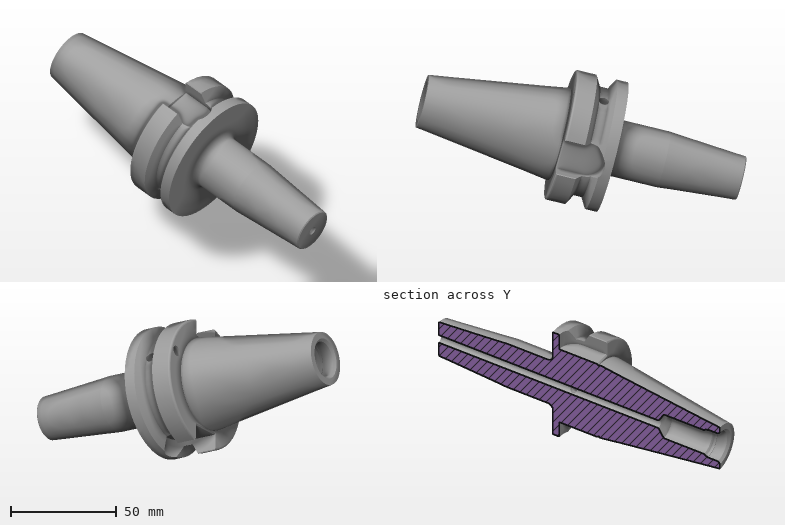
import cadquery as cq
import math

total_length = 155.4
gauge_x = 65.7
flange_x = 67.3
flange_end_x = 92.5
nose_taper_x = 117.5

gauge_radius = 22.4
taper_ratio = 7 / 24
small_end_radius = gauge_radius - gauge_x * taper_ratio / 2
relief_x = 66.7
relief_floor_radius = 21.5

flange_diameter = 63.0
flange_radius = flange_diameter / 2
flange_edge_fillet = 1.01
groove_x = 82.0
groove_floor_radius = 26.4
groove_floor_width = 4.2
groove_flank_angle = 30
groove_depth = flange_radius - groove_floor_radius
groove_half_floor = groove_floor_width / 2
groove_half_mouth = groove_half_floor + groove_depth * math.tan(math.radians(groove_flank_angle))

neck_radius = 13.5
neck_fillet = 3.0
nose_end_radius = 10.5
nose_end_chamfer = 0.5

upper_slot_width = 16.2
lower_slot_width = 17.1
slot_floor_z = 22.5
slot_end_x = 88.7
slot_floor_chamfer = 0.6
slot_side_chamfer = 0.5

mouth_radius = 9.6
counterbore_radius = 8.4
counterbore_depth = 6.7
shoulder_radius = 8.1
shoulder_length = 1.2
thread_radius = 7.1
thread_end_x = 31.1
coolant_radius = 2.2
drill_point_angle = 118

channel_angles = (20, 200)
side_hole_diameter = 4.8
side_hole_radius = side_hole_diameter / 2
inlet_radius = 26.9
inlet_tilt = 30
radial_step_radius = 21.1
radial_drill_radius = 1.7


def revolve_about_x(profile):
    return profile.close().revolve(360, (0, 0, 0), (1, 0, 0))


def make_body():
    profile = (
        cq.Workplane("XY")
        .lineTo(0, small_end_radius)
        .lineTo(gauge_x, gauge_radius)
        .lineTo(relief_x, gauge_radius)
        .lineTo(flange_x, relief_floor_radius)
        .lineTo(flange_x, flange_radius - flange_edge_fillet)
        .radiusArc((flange_x + flange_edge_fillet, flange_radius), flange_edge_fillet)
        .lineTo(groove_x - groove_half_mouth, flange_radius)
        .lineTo(groove_x - groove_half_floor, groove_floor_radius)
        .lineTo(groove_x + groove_half_floor, groove_floor_radius)
        .lineTo(groove_x + groove_half_mouth, flange_radius)
        .lineTo(flange_end_x, flange_radius)
        .lineTo(flange_end_x, neck_radius + neck_fillet)
        .radiusArc((flange_end_x + neck_fillet, neck_radius), -neck_fillet)
        .lineTo(nose_taper_x, neck_radius)
        .lineTo(total_length - nose_end_chamfer, nose_end_radius)
        .lineTo(total_length, nose_end_radius - nose_end_chamfer)
        .lineTo(total_length, 0)
    )
    return revolve_about_x(profile)


def make_bore():
    mouth_chamfer = mouth_radius - counterbore_radius
    shoulder_end_x = counterbore_depth + shoulder_length
    thread_chamfer = shoulder_radius - thread_radius
    point_length = (thread_radius - coolant_radius) / math.tan(math.radians(drill_point_angle / 2))
    profile = (
        cq.Workplane("XY")
        .lineTo(0, mouth_radius)
        .lineTo(mouth_chamfer, counterbore_radius)
        .lineTo(counterbore_depth, counterbore_radius)
        .lineTo(counterbore_depth, shoulder_radius)
        .lineTo(shoulder_end_x, shoulder_radius)
        .lineTo(shoulder_end_x + thread_chamfer, thread_radius)
        .lineTo(thread_end_x, thread_radius)
        .lineTo(thread_end_x + point_length, coolant_radius)
        .lineTo(total_length, coolant_radius)
        .lineTo(total_length, 0)
    )
    return revolve_about_x(profile)


def make_drive_slot(width):
    """Slot on the +Z side, open towards the taper and rounded at its far end."""
    half_width = width / 2
    arc_x = slot_end_x - half_width
    pocket = (
        cq.Workplane("XY", origin=(0, 0, slot_floor_z))
        .moveTo(relief_x, -half_width)
        .lineTo(arc_x, -half_width)
        .threePointArc((slot_end_x, 0), (arc_x, half_width))
        .lineTo(relief_x, half_width)
        .close()
        .extrude(flange_radius)
    )
    floor_chamfer = (
        cq.Workplane("XZ")
        .moveTo(flange_x, slot_floor_z - slot_floor_chamfer)
        .lineTo(flange_x + slot_floor_chamfer, slot_floor_z)
        .lineTo(flange_x, slot_floor_z)
        .close()
        .extrude(half_width, both=True)
    )
    rim_z = math.sqrt(flange_radius**2 - half_width**2)
    rim_half_width = half_width + slot_side_chamfer
    side_chamfers = (
        cq.Workplane("YZ", origin=(flange_x, 0, 0))
        .moveTo(-half_width, rim_z - slot_side_chamfer)
        .lineTo(half_width, rim_z - slot_side_chamfer)
        .lineTo(rim_half_width, rim_z)
        .lineTo(-rim_half_width, rim_z)
        .close()
        .extrude(groove_x - flange_x)
    )
    return pocket.union(floor_chamfer).union(side_chamfers)


def make_inclined_hole():
    """Hole in the XY plane from the flange face to the centre line of the radial hole."""
    tilt = math.radians(inlet_tilt)
    direction = cq.Vector(math.cos(tilt), -math.sin(tilt), 0)
    lead_in = side_hole_radius
    start = cq.Vector(flange_x, inlet_radius, 0) - direction * lead_in
    length = lead_in + (groove_x - flange_x) / math.cos(tilt)
    return cq.Workplane(cq.Solid.makeCylinder(side_hole_radius, length, start, direction))


def make_radial_hole():
    """Stepped hole in the XY plane from the groove floor to the coolant hole on the axis."""
    outward = cq.Vector(0, 1, 0)
    axis_point = cq.Vector(groove_x, 0, 0)
    drill = cq.Solid.makeCylinder(radial_drill_radius, radial_step_radius, axis_point, outward)
    step_point = axis_point + outward * radial_step_radius
    mouth = cq.Solid.makeCylinder(side_hole_radius, flange_radius - radial_step_radius, step_point, outward)
    return cq.Workplane(drill).union(cq.Workplane(mouth))


def turn_about_x(shape, angle):
    return shape.rotate((0, 0, 0), (1, 0, 0), angle)


result = make_body().cut(make_bore())
result = result.cut(make_drive_slot(upper_slot_width))
result = result.cut(turn_about_x(make_drive_slot(lower_slot_width), 180))
for channel_angle in channel_angles:
    result = result.cut(turn_about_x(make_inclined_hole(), channel_angle))
    result = result.cut(turn_about_x(make_radial_hole(), channel_angle))